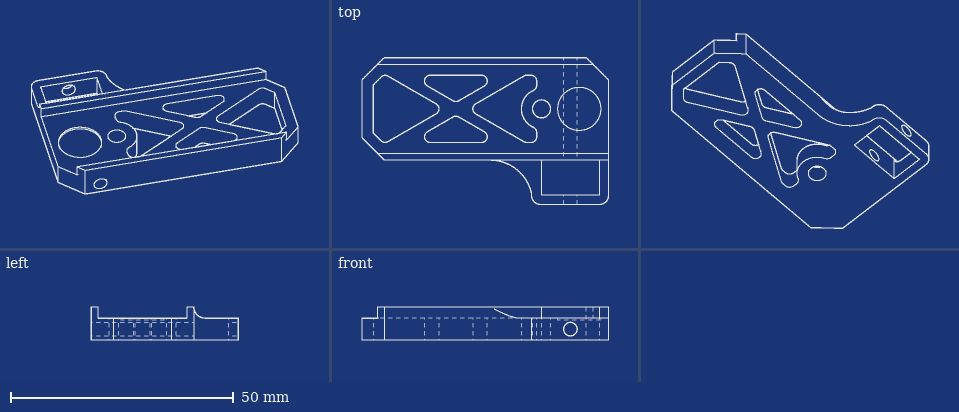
import cadquery as cq
import math

length = 55.4
plate_width = 23.05
floor_height = 5.0
rail_height = 2.5
rail_width = 1.55
corner_chamfer = 5.05
total_height = floor_height + rail_height
mid_y = plate_width / 2

bracket_reach = 9.95
bracket_left = 38.05
bracket_corner_radius = 2.1
sweep_start = 28.8
sweep_end_y = -7.4
cove_radius = rail_height
opening_left = 40.35
opening_right = 53.3
opening_front = -7.8
cross_hole_diameter = 3.0
cross_hole_x = (opening_left + opening_right) / 2
cross_hole_z = floor_height / 2

hole_x = opening_left
hole_diameter = 4.0
boss_radius = 4.55
recess_x = 48.8
recess_diameter = 9.7
recess_depth = 0.5

strut_angle = math.radians(30)
strut_half_width = 1.3
cross_x = 21.1
pocket_half_width = 7.55
pocket_left = 2.6
pocket_left_half_width = 5.45
pocket_right = 39.2
pocket_radius = 1.3

slope = math.tan(strut_angle)
side_apex = strut_half_width / math.sin(strut_angle)
middle_apex = strut_half_width / math.cos(strut_angle)


def make_plate():
    """Chamfered plate with a raised rail along its front and back edges."""
    plate = (
        cq.Workplane("XY")
        .moveTo(corner_chamfer, 0)
        .lineTo(length, 0)
        .lineTo(length, plate_width - corner_chamfer)
        .lineTo(length - corner_chamfer, plate_width)
        .lineTo(corner_chamfer, plate_width)
        .lineTo(0, plate_width - corner_chamfer)
        .lineTo(0, corner_chamfer)
        .close()
        .extrude(total_height)
    )
    channel = (
        cq.Workplane("XY", origin=(0, rail_width, floor_height))
        .rect(length, plate_width - 2 * rail_width, centered=False)
        .extrude(rail_height)
    )
    return plate.cut(channel)


def make_bracket():
    """Swept bracket with a cove rising to the top of the front rail."""
    run = bracket_left - sweep_start
    sweep_radius = (run**2 + sweep_end_y**2) / (2 * -sweep_end_y)
    outline = (
        cq.Workplane("XY")
        .moveTo(sweep_start, 0)
        .radiusArc((bracket_left, sweep_end_y), sweep_radius)
        .lineTo(bracket_left, -bracket_reach)
        .lineTo(length, -bracket_reach)
        .lineTo(length, rail_width)
        .lineTo(sweep_start, rail_width)
        .close()
        .extrude(total_height)
    )
    outline = outline.edges("|Z and <Y").fillet(bracket_corner_radius)
    profile = (
        cq.Workplane("YZ")
        .moveTo(rail_width, 0)
        .lineTo(-bracket_reach, 0)
        .lineTo(-bracket_reach, floor_height)
        .lineTo(-cove_radius, floor_height)
        .radiusArc((0, total_height), -cove_radius)
        .lineTo(rail_width, total_height)
        .close()
        .extrude(length)
    )
    opening = (
        cq.Workplane("XY", origin=(opening_left, opening_front, 0))
        .rect(opening_right - opening_left, -opening_front, centered=False)
        .extrude(total_height)
    )
    return outline.intersect(profile).cut(opening)


def pocket_prism(points):
    """Through-prism whose points are relative to the crossing of the struts."""
    return cq.Workplane("XY", origin=(cross_x, mid_y, 0)).polyline(points).close().extrude(floor_height)


def make_left_pocket():
    """Triangle with 45 degree corners parallel to the plate chamfers."""
    left = pocket_left - cross_x
    corner_x = (left - pocket_left_half_width - slope * side_apex) / (1 + slope)
    corner_y = pocket_left_half_width + corner_x - left
    pocket = pocket_prism([
        (-side_apex, 0),
        (corner_x, corner_y),
        (left, pocket_left_half_width),
        (left, -pocket_left_half_width),
        (corner_x, -corner_y),
    ])
    return pocket.edges("|Z").edges("not <X").fillet(pocket_radius)


def make_middle_pocket(side):
    """Flat triangle behind (side = 1) or in front of (side = -1) the crossing."""
    half_base = (pocket_half_width - middle_apex) / slope
    pocket = pocket_prism([
        (0, side * middle_apex),
        (half_base, side * pocket_half_width),
        (-half_base, side * pocket_half_width),
    ])
    return pocket.edges("|Z").fillet(pocket_radius)


def make_right_pocket():
    """Pocket wrapped around the boss of the plate hole."""
    right = pocket_right - cross_x
    shoulder_x = side_apex + pocket_half_width / slope
    pocket = pocket_prism([
        (side_apex, 0),
        (shoulder_x, pocket_half_width),
        (right, pocket_half_width),
        (right, -pocket_half_width),
        (shoulder_x, -pocket_half_width),
    ])
    boss = cq.Workplane("XY", origin=(hole_x, mid_y, 0)).circle(boss_radius).extrude(floor_height)
    return pocket.cut(boss).edges("|Z").fillet(pocket_radius)


body = make_plate().union(make_bracket())

pockets = [make_left_pocket(), make_middle_pocket(1), make_middle_pocket(-1), make_right_pocket()]
for pocket in pockets:
    body = body.cut(pocket)

plate_hole = cq.Workplane("XY", origin=(hole_x, mid_y, 0)).circle(hole_diameter / 2).extrude(floor_height)

recess = (
    cq.Workplane("XY", origin=(recess_x, mid_y, floor_height))
    .circle(recess_diameter / 2)
    .extrude(-recess_depth)
)

cross_hole = (
    cq.Workplane("XZ", origin=(cross_hole_x, plate_width, cross_hole_z))
    .circle(cross_hole_diameter / 2)
    .extrude(plate_width + bracket_reach)
)

result = body.cut(plate_hole).cut(recess).cut(cross_hole)